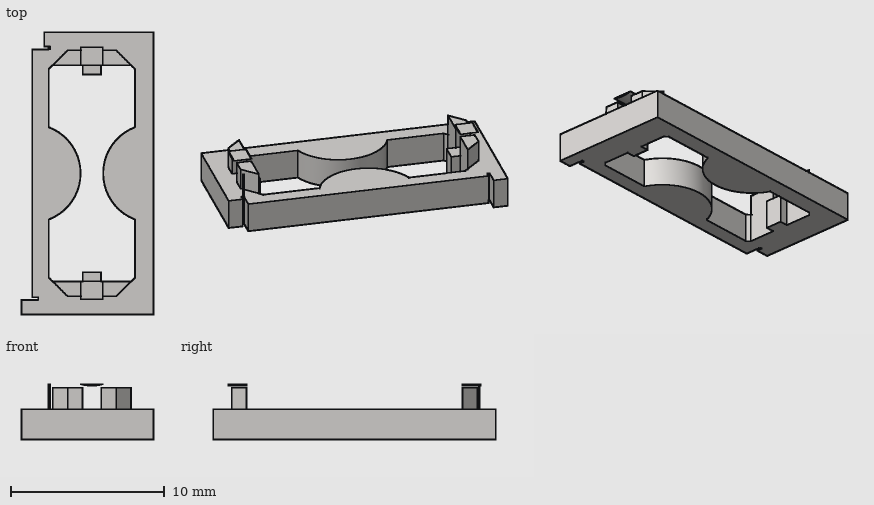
import cadquery as cq

length = 18.4
base_height = 1.99
right_edge = 4.01
left_edge = -3.88
front_tab_edge = -4.58
rear_step_edge = -3.11

end_bar_depth = 0.95
slot_width = 0.17
slot_depth = 0.39

opening_half_width = 2.8
opening_half_length = 8.0
corner_chamfer = 1.21
lobe_radius = 3.22
lobe_gap = 1.45

block_top = 3.39
block_inner_y = 7.03
block_gap = 1.21
ledge_inner_y = 6.42

cap_top = 3.6
cap_width = 1.44
cap_sag = 0.11
cap_outer_y = 8.2

pin_width = 0.11
pin_thickness = 0.07

half_length = length / 2
slot_outer_y = half_length - end_bar_depth
slot_inner_y = slot_outer_y - slot_width
rear_slot_end = rear_step_edge + slot_depth
front_slot_end = left_edge + slot_depth


def box_between(x_min, x_max, y_min, y_max, height):
    """Box standing on Z = 0 between the given X and Y limits."""
    return cq.Workplane("XY").box(
        x_max - x_min, y_max - y_min, height, centered=False
    ).translate((x_min, y_min, 0))


def make_plate():
    """Outer plate with the end tabs and the two slots."""
    outline = [
        (front_tab_edge, -half_length),
        (right_edge, -half_length),
        (right_edge, half_length),
        (rear_step_edge, half_length),
        (rear_step_edge, slot_outer_y),
        (rear_slot_end, slot_outer_y),
        (rear_slot_end, slot_inner_y),
        (left_edge, slot_inner_y),
        (left_edge, -slot_inner_y),
        (front_slot_end, -slot_inner_y),
        (front_slot_end, -slot_outer_y),
        (front_tab_edge, -slot_outer_y),
    ]
    return cq.Workplane("XY").polyline(outline).close().extrude(base_height)


def make_chamfered_opening(height):
    """Chamfered rectangular prism that fills the opening."""
    return (
        cq.Workplane("XY")
        .rect(2 * opening_half_width, 2 * opening_half_length)
        .extrude(height)
        .edges("|Z")
        .chamfer(corner_chamfer)
    )


def make_opening():
    """Cutter for the opening, narrowed by a round lobe on each long side."""
    lobe_centre_x = lobe_gap / 2 + lobe_radius
    lobes = (
        cq.Workplane("XY")
        .pushPoints([(-lobe_centre_x, 0), (lobe_centre_x, 0)])
        .circle(lobe_radius)
        .extrude(base_height)
    )
    return make_chamfered_opening(base_height).cut(lobes)


def make_end_blocks(side):
    """Split block and low ledge at one end; side is -1 (front) or +1 (rear)."""
    y_limits = sorted((side * block_inner_y, side * opening_half_length))
    end_zone = box_between(-opening_half_width, opening_half_width, *y_limits, block_top)
    blocks = make_chamfered_opening(block_top).intersect(end_zone)
    gap = box_between(-block_gap / 2, block_gap / 2, *y_limits, block_top)
    ledge_limits = sorted((side * ledge_inner_y, side * opening_half_length))
    ledge = box_between(-block_gap / 2, block_gap / 2, *ledge_limits, base_height)
    return blocks.cut(gap).union(ledge)


def make_pin():
    """Upright pin in the rear slot, standing against its inner wall."""
    return box_between(
        rear_slot_end - pin_width, rear_slot_end,
        slot_inner_y, slot_inner_y + pin_thickness, cap_top,
    )


def make_frame():
    """Frame with opening, end blocks and pin as one solid."""
    frame = make_plate().cut(make_opening())
    for side in (-1, 1):
        frame = frame.union(make_end_blocks(side))
    return frame.union(make_pin())


def make_cap(side):
    """Thin cap plate over the block gap at one end."""
    y_min = min(side * block_inner_y, side * cap_outer_y)
    cap_length = cap_outer_y - block_inner_y
    return (
        cq.Workplane("XZ")
        .moveTo(-cap_width / 2, cap_top)
        .threePointArc((0, cap_top - cap_sag), (cap_width / 2, cap_top))
        .close()
        .extrude(-cap_length)
        .translate((0, y_min, 0))
    )


frame = make_frame()
caps = [make_cap(side) for side in (-1, 1)]

result = cq.Compound.makeCompound([frame.val(), *[cap.val() for cap in caps]])